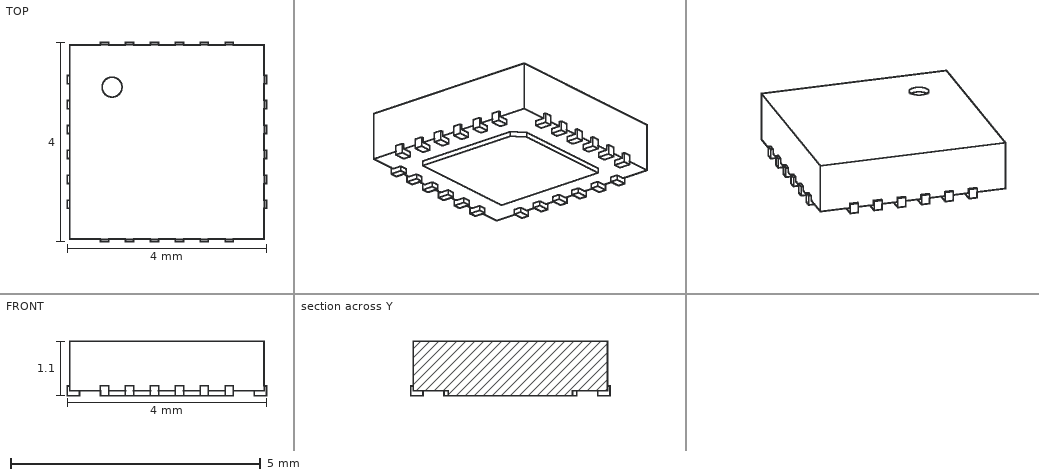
import cadquery as cq

outer_side = 4.0
total_height = 1.1

body_side = 3.9
standoff = 0.1
body_height = total_height - standoff

side_count = 4
leads_per_side = 6
lead_pitch = 0.5
lead_width = 0.17
lead_length = lead_pitch / 2
lead_height = 2 * standoff

pad_side = 2.5
pad_corner_cut = 0.23

dimple_diameter = 0.4
dimple_depth = 0.1
dimple_offset = 1.1


def make_body():
    """Square body with the pin 1 dimple towards its -X, +Y corner."""
    block = (
        cq.Workplane("XY", origin=(0, 0, standoff))
        .rect(body_side, body_side)
        .extrude(body_height)
    )
    dimple = (
        cq.Workplane("XY", origin=(-dimple_offset, dimple_offset, total_height))
        .circle(dimple_diameter / 2)
        .extrude(-dimple_depth)
    )
    return block.cut(dimple)


def make_thermal_pad():
    """Square pad as thick as the standoff, cut at its -X, +Y corner."""
    return (
        cq.Workplane("XY")
        .rect(pad_side, pad_side)
        .extrude(standoff)
        .edges("|Z")
        .edges("<X and >Y")
        .chamfer(pad_corner_cut)
    )


def make_lead_row():
    """Row of leads along the -Y side, rising from the mounting plane into the body."""
    row_y = -(outer_side - lead_length) / 2
    return (
        cq.Workplane("XY", origin=(0, row_y, 0))
        .rarray(lead_pitch, 0.04, leads_per_side, 1)
        .rect(lead_width, lead_length)
        .extrude(lead_height)
    )


result = make_body().union(make_thermal_pad())

lead_row = make_lead_row()
for side in range(side_count):
    turn = 360 / side_count * side
    result = result.union(lead_row.rotate((0, 0, 0), (0, 0, 1), turn))